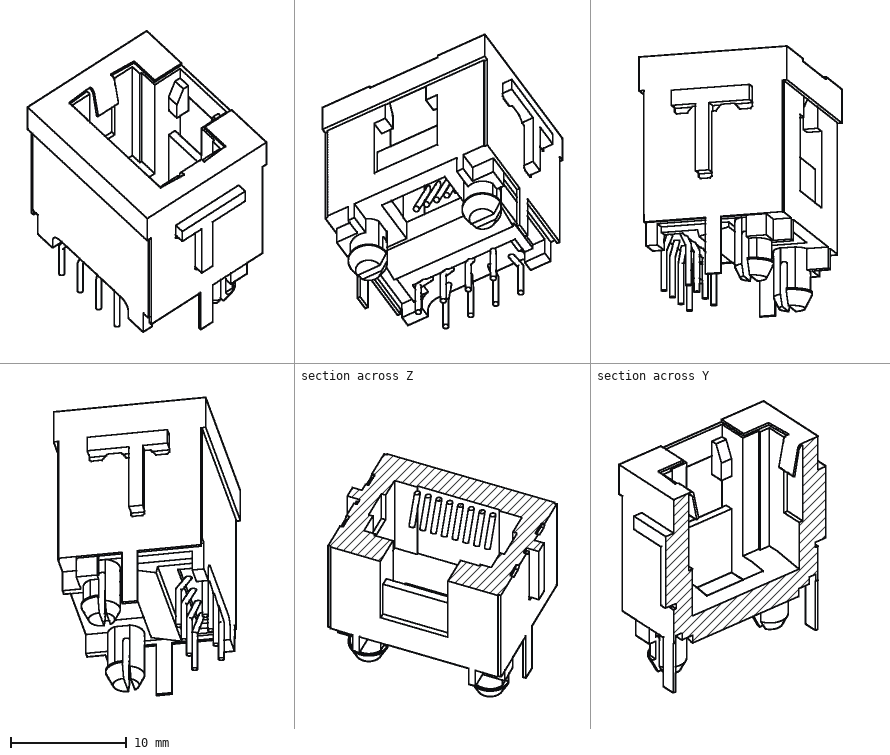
import cadquery as cq
import math


HEIGHT = 19.85
FLANGE_WIDTH = 16.24
FLANGE_DEPTH = 13.4
FLANGE_BOTTOM = 16.83
BODY_DEPTH = 12.72
BODY_BOTTOM = 5.1
PLATE_THICKNESS = 0.28
PLATE_DEPTH = 12.5
BODY_WIDTH = FLANGE_WIDTH - 2 * PLATE_THICKNESS

FOOT_BOTTOM = 3.22
FOOT_INNER_X = 5.12
FRONT_FOOT_DEPTH = 1.03
FRONT_FOOT_OUTER_X = 7.15
NOTCH_TOP = 5.82
ARCH_TOP = 5.18
ARCH_RADIUS = 1.0
REAR_FOOT_FRONT_Y = 2.92
REAR_FOOT_STEP_Y = 4.75
REAR_FOOT_STEP_X = 5.75

LIP_DEPTH = 0.24
LIP_WIDTH = 0.24
LATCH_HALF_WIDTH = 3.15
LATCH_FRONT_Y = 0.75
LATCH_REAR_Y = 6.33
CAVITY_HALF_WIDTH = 5.95
CAVITY_FRONT_Y = -3.47
CAVITY_REAR_Y = 3.3
LIP_FRONT_Y = -3.61
LIP_REAR_Y = 3.7
LIP_END_HALF_WIDTH = 6.2
LIP_MID_HALF_WIDTH = 6.35
REAR_POCKET_HALF_WIDTH = 4.92
REAR_POCKET_Y = 3.5
CONTACT_POCKET_HALF_WIDTH = 3.85
FLOOR_SLOPE = math.radians(8)
FLOOR_REAR_Y = 2.18
FLOOR_FRONT_Y = -3.12
FLOOR_REAR_Z = 7.55

SILL_TOP = 11.61
SILL_FRONT_Y = 5.05
HOOK_STEP_Y = 5.78
HOOK_INNER_X = 2.02
HOOK_TOP = 18.35
HOOK_SLOPE_BOTTOM = 16.73
HOOK_BOTTOM = 14.95

SPRING_FRONT_Y = -1.1
SPRING_REAR_Y = 1.17
SPRING_OUTER_X = 6.23
SPRING_BEND_X = 5.78
SPRING_TIP_X = 5.28
SPRING_BEND_Z = 19.37
SPRING_TIP_Z = 16.97
SPRING_THICKNESS = 0.24
SPRING_SLOT_FRONT_Y = -1.49
SPRING_SLOT_REAR_Y = 1.31
SPRING_SLOT_BOTTOM = 11.91

EAR_SPAN = 18.0
EAR_TOP = 16.44
EAR_BAR_BOTTOM = 15.09
EAR_STEM_BOTTOM = 9.1
EAR_FRONT_Y = -3.5
EAR_REAR_Y = 3.57
STEM_FRONT_Y = -1.31
STEM_REAR_Y = -0.1
WINDOW_DROP = 0.55
STEM_WINDOW_BOTTOM = 8.6
WINDOW_CHAMFER = 0.18
WINDOW_LENGTH = 1.63
INNER_WINDOW_LENGTH = 0.83
WINDOW_SLANT = 0.48

TAB_WIDTH = 1.37
TAB_BOTTOM = 0.08
PEG_X = 5.7
PEG_Y = 2.92
PEG_RADIUS = 1.6
PEG_FLAT = 1.43
PEG_SLOT_WIDTH = 0.6
PEG_SLOT_TOP = 3.85
PEG_SLOT_CORNER_RADIUS = 0.24
PEG_TIP_RADIUS = 1.13
PEG_TAPER_TOP = 0.97
BARB_RADIUS = 1.77
BARB_TOP = 1.4
BARB_TAPER_TOP = 1.27

CARRIER_HALF_WIDTH = 5.95
CARRIER_BOTTOM = 4.6
CARRIER_FRONT_Y = -3.67
CARRIER_EDGE_Y = -2.06
CARRIER_NOSE_Y = -1.93
CARRIER_NOSE_Z = 4.0
CARRIER_SLOPE = math.radians(14)

PIN_COUNT = 8
PIN_PITCH = 1.25
CONTACT_PITCH = 1.01
WIRE_DIAMETER = 0.5
PIN_BOTTOM = 0.15
BEND_Z = 3.77
WIRE_TOP_Z = 5.45
FRONT_ROW_Y = -5.95
FRONT_ROW_TOP_Y = -5.52
REAR_ROW_Y = -3.37
REAR_ROW_TOP_Y = -4.33
CONTACT_ROOT_Y = -3.97
CONTACT_ROOT_Z = 17.47
CONTACT_TIP_Y = -1.59
CONTACT_TIP_Z = 11.91


def box(x1, x2, y1, y2, z1, z2):
    """Box between two opposite corners."""
    return cq.Workplane("XY").box(x2 - x1, y2 - y1, z2 - z1, centered=False).translate((x1, y1, z1))


def both_sides(shape):
    """The shape together with its mirror image across the YZ plane."""
    return shape.union(shape.mirror("YZ"))


def side_profile(points, x1, x2):
    """Closed (y, z) outline extruded from x1 to x2."""
    return cq.Workplane("YZ").workplane(offset=x1).polyline(points).close().extrude(x2 - x1)


def rod(start, end):
    """Round contact wire between two points."""
    axis = cq.Vector(*end) - cq.Vector(*start)
    return cq.Workplane(cq.Solid.makeCylinder(WIRE_DIAMETER / 2, axis.Length, cq.Vector(*start), axis))


def make_housing():
    half_width = BODY_WIDTH / 2
    front = -BODY_DEPTH / 2
    rear = BODY_DEPTH / 2
    wall_back = front + FRONT_FOOT_DEPTH
    flange = box(
        -FLANGE_WIDTH / 2, FLANGE_WIDTH / 2, -FLANGE_DEPTH / 2, FLANGE_DEPTH / 2, FLANGE_BOTTOM, HEIGHT
    )
    body = box(-half_width, half_width, front, rear, BODY_BOTTOM, FLANGE_BOTTOM)
    front_wall = box(-half_width, half_width, front, wall_back, FOOT_BOTTOM, BODY_BOTTOM)
    slope_rise = (LATCH_FRONT_Y - CARRIER_NOSE_Y) * math.tan(CARRIER_SLOPE)
    carrier = side_profile(
        [
            (CARRIER_FRONT_Y, CARRIER_BOTTOM),
            (CARRIER_EDGE_Y, CARRIER_BOTTOM),
            (CARRIER_NOSE_Y, CARRIER_NOSE_Z),
            (LATCH_FRONT_Y, CARRIER_NOSE_Z + slope_rise),
            (LATCH_FRONT_Y, ARCH_TOP),
            (CARRIER_FRONT_Y, ARCH_TOP),
        ],
        -CARRIER_HALF_WIDTH,
        CARRIER_HALF_WIDTH,
    )
    carrier_rail = box(
        FOOT_INNER_X, CARRIER_HALF_WIDTH, wall_back, CARRIER_FRONT_Y, CARRIER_BOTTOM, ARCH_TOP
    )
    foot = box(FOOT_INNER_X, half_width, REAR_FOOT_FRONT_Y, REAR_FOOT_STEP_Y, FOOT_BOTTOM, BODY_BOTTOM)
    foot_rear = box(FOOT_INNER_X, REAR_FOOT_STEP_X, REAR_FOOT_STEP_Y, rear, FOOT_BOTTOM, BODY_BOTTOM)
    housing = flange.union(body).union(front_wall)

    arch = (
        box(-FOOT_INNER_X, FOOT_INNER_X, front, CARRIER_FRONT_Y, FOOT_BOTTOM, ARCH_TOP)
        .edges("|Y and >Z")
        .fillet(ARCH_RADIUS)
    )
    notch = box(FRONT_FOOT_OUTER_X, half_width, front, REAR_FOOT_FRONT_Y, FOOT_BOTTOM, NOTCH_TOP)
    housing = housing.cut(arch).cut(both_sides(notch))
    return housing.union(carrier).union(both_sides(foot.union(foot_rear).union(carrier_rail)))


def make_side_plate():
    """Shield plate on the +X side with its ground tab and the windows around the ear."""
    inner_x = BODY_WIDTH / 2
    outer_x = FLANGE_WIDTH / 2
    plate = box(inner_x, outer_x, -PLATE_DEPTH / 2, PLATE_DEPTH / 2, BODY_BOTTOM, FLANGE_BOTTOM)
    tab = box(inner_x, outer_x, -TAB_WIDTH / 2, TAB_WIDTH / 2, TAB_BOTTOM, BODY_BOTTOM)
    top = EAR_BAR_BOTTOM
    bottom = top - WINDOW_DROP

    def bar_window(outer_y, direction):
        inner_y = outer_y + direction * WINDOW_LENGTH
        return side_profile(
            [
                (outer_y, top),
                (outer_y, bottom + WINDOW_CHAMFER),
                (outer_y + direction * WINDOW_CHAMFER, bottom),
                (inner_y - direction * WINDOW_SLANT, bottom),
                (inner_y, top),
            ],
            inner_x,
            outer_x,
        )

    inner_window = side_profile(
        [
            (STEM_REAR_Y, top),
            (STEM_REAR_Y, bottom),
            (STEM_REAR_Y + INNER_WINDOW_LENGTH - WINDOW_SLANT, bottom),
            (STEM_REAR_Y + INNER_WINDOW_LENGTH, top),
        ],
        inner_x,
        outer_x,
    )
    stem_window = (
        box(inner_x, outer_x, STEM_FRONT_Y, STEM_REAR_Y, STEM_WINDOW_BOTTOM, EAR_STEM_BOTTOM)
        .edges("|X and <Z")
        .chamfer(WINDOW_CHAMFER)
    )
    plate = plate.union(tab)
    for window in (bar_window(EAR_REAR_Y, -1), bar_window(EAR_FRONT_Y, 1), inner_window, stem_window):
        plate = plate.cut(window)
    return plate


def make_ear():
    inner_x = BODY_WIDTH / 2
    bar = box(inner_x, EAR_SPAN / 2, EAR_FRONT_Y, EAR_REAR_Y, EAR_BAR_BOTTOM, EAR_TOP)
    stem = box(inner_x, EAR_SPAN / 2, STEM_FRONT_Y, STEM_REAR_Y, EAR_STEM_BOTTOM, EAR_BAR_BOTTOM)
    return bar.union(stem)


def make_lip_recess():
    """Shallow step around the opening; its sides bulge outward at the spring slots."""
    rear = FLANGE_DEPTH / 2
    latch_x = LATCH_HALF_WIDTH + LIP_WIDTH
    right_side = [
        (latch_x, rear),
        (latch_x, LIP_REAR_Y),
        (LIP_END_HALF_WIDTH, LIP_REAR_Y),
        (LIP_MID_HALF_WIDTH, SPRING_SLOT_REAR_Y),
        (LIP_MID_HALF_WIDTH, SPRING_SLOT_FRONT_Y),
        (LIP_END_HALF_WIDTH, LIP_FRONT_Y),
    ]
    left_side = [(-x, y) for x, y in reversed(right_side)]
    outline = cq.Workplane("XY").workplane(offset=HEIGHT - LIP_DEPTH).polyline(right_side + left_side)
    return outline.close().extrude(LIP_DEPTH)


def floor_height(y):
    """Height at depth y of the sloping plane of the cavity floor."""
    return FLOOR_REAR_Z + (y - FLOOR_REAR_Y) * math.tan(FLOOR_SLOPE)


def make_opening():
    floor_front_z = floor_height(FLOOR_FRONT_Y)
    cavity = side_profile(
        [
            (CAVITY_FRONT_Y, HEIGHT),
            (CAVITY_FRONT_Y, floor_front_z),
            (FLOOR_FRONT_Y, floor_front_z),
            (FLOOR_REAR_Y, FLOOR_REAR_Z),
            (CAVITY_REAR_Y, FLOOR_REAR_Z),
            (CAVITY_REAR_Y, HEIGHT),
        ],
        -CAVITY_HALF_WIDTH,
        CAVITY_HALF_WIDTH,
    )
    rear_pocket = box(
        -REAR_POCKET_HALF_WIDTH, REAR_POCKET_HALF_WIDTH, CAVITY_REAR_Y, REAR_POCKET_Y, FLOOR_REAR_Z, HEIGHT
    )
    contact_pocket = box(
        -CONTACT_POCKET_HALF_WIDTH,
        CONTACT_POCKET_HALF_WIDTH,
        LIP_FRONT_Y,
        CAVITY_FRONT_Y,
        floor_front_z,
        HEIGHT,
    )
    latch_passage = box(-LATCH_HALF_WIDTH, LATCH_HALF_WIDTH, LATCH_FRONT_Y, SILL_FRONT_Y, 0, HEIGHT)
    latch_space = box(
        -LATCH_HALF_WIDTH, LATCH_HALF_WIDTH, SILL_FRONT_Y, LATCH_REAR_Y, FLANGE_BOTTOM, HEIGHT
    )
    rear = BODY_DEPTH / 2
    window = side_profile(
        [
            (SILL_FRONT_Y, FLANGE_BOTTOM),
            (SILL_FRONT_Y, SILL_TOP),
            (HOOK_STEP_Y, SILL_TOP),
            (HOOK_STEP_Y, floor_height(HOOK_STEP_Y)),
            (rear, floor_height(rear)),
            (rear, FLANGE_BOTTOM),
        ],
        -LATCH_HALF_WIDTH,
        LATCH_HALF_WIDTH,
    )
    spring_slot = box(
        CAVITY_HALF_WIDTH,
        LIP_MID_HALF_WIDTH,
        SPRING_SLOT_FRONT_Y,
        SPRING_SLOT_REAR_Y,
        SPRING_SLOT_BOTTOM,
        HEIGHT,
    )
    opening = make_lip_recess().union(cavity).union(rear_pocket).union(latch_passage)
    opening = opening.union(latch_space).union(window).union(both_sides(spring_slot))
    return opening.union(contact_pocket)


def make_hook():
    return side_profile(
        [
            (BODY_DEPTH / 2, HOOK_BOTTOM),
            (SILL_FRONT_Y, HOOK_BOTTOM),
            (SILL_FRONT_Y, HOOK_SLOPE_BOTTOM),
            (HOOK_STEP_Y, HOOK_TOP),
            (BODY_DEPTH / 2, HOOK_TOP),
        ],
        HOOK_INNER_X,
        LATCH_HALF_WIDTH,
    )


def make_spring():
    """Sheet strip that curls over the +X edge of the opening and hangs into it, with a rounded tip."""
    bend_rise = HEIGHT - SPRING_BEND_Z
    bend_mid_x = SPRING_BEND_X + bend_rise * (1 - math.cos(math.pi / 4))
    tip_end_x = SPRING_TIP_X + SPRING_THICKNESS
    tip_mid_x = SPRING_TIP_X + SPRING_THICKNESS * (1 - math.cos(math.pi / 4))
    tip_mid_z = SPRING_TIP_Z - SPRING_THICKNESS * math.sin(math.pi / 4)
    bend_mid_z = SPRING_BEND_Z + bend_rise * math.sin(math.pi / 4)
    return (
        cq.Workplane("XZ", origin=(0, SPRING_REAR_Y, 0))
        .moveTo(LIP_MID_HALF_WIDTH, HEIGHT)
        .lineTo(SPRING_OUTER_X, HEIGHT)
        .threePointArc((bend_mid_x, bend_mid_z), (SPRING_BEND_X, SPRING_BEND_Z))
        .lineTo(SPRING_TIP_X, SPRING_TIP_Z)
        .threePointArc((tip_mid_x, tip_mid_z), (tip_end_x, SPRING_TIP_Z - SPRING_THICKNESS))
        .lineTo(SPRING_BEND_X + SPRING_THICKNESS, SPRING_BEND_Z)
        .lineTo(SPRING_OUTER_X, HEIGHT - SPRING_THICKNESS)
        .lineTo(LIP_MID_HALF_WIDTH, HEIGHT - SPRING_THICKNESS)
        .close()
        .extrude(SPRING_REAR_Y - SPRING_FRONT_Y)
    )


def revolved_peg(profile):
    """Solid of revolution about Z from (radius, z) points that start and end on the axis."""
    return cq.Workplane("XZ").polyline(profile).close().revolve(360, (0, 0), (0, 1))


def make_peg():
    """Split peg: barbed and flat-sided at the rear, plain and tapered at the front."""
    front = revolved_peg(
        [
            (0, 0),
            (PEG_TIP_RADIUS, 0),
            (PEG_RADIUS, PEG_TAPER_TOP),
            (PEG_RADIUS, BODY_BOTTOM),
            (0, BODY_BOTTOM),
        ]
    ).intersect(box(-PEG_RADIUS, PEG_RADIUS, -PEG_RADIUS, -PEG_SLOT_WIDTH, 0, BODY_BOTTOM))
    barb = revolved_peg(
        [
            (0, 0),
            (PEG_TIP_RADIUS, 0),
            (BARB_RADIUS, BARB_TAPER_TOP),
            (BARB_RADIUS, BARB_TOP),
            (0, BARB_TOP),
        ]
    ).intersect(box(-BARB_RADIUS, BARB_RADIUS, 0, BARB_RADIUS, 0, BARB_TOP))
    shank = revolved_peg(
        [(0, BARB_TOP), (PEG_RADIUS, BARB_TOP), (PEG_RADIUS, BODY_BOTTOM), (0, BODY_BOTTOM)]
    ).intersect(box(-PEG_FLAT, PEG_FLAT, -PEG_SLOT_WIDTH, PEG_RADIUS, BARB_TOP, BODY_BOTTOM))
    slot = box(-BARB_RADIUS, BARB_RADIUS, -PEG_SLOT_WIDTH, 0, 0, PEG_SLOT_TOP)
    slot = slot.edges("|X and >Z").fillet(PEG_SLOT_CORNER_RADIUS)
    return front.union(shank).union(barb).cut(slot).translate((PEG_X, PEG_Y, 0))


def row_positions(pitch):
    """Evenly spaced X positions of the contacts, centred on the jack."""
    return [(index - (PIN_COUNT - 1) / 2) * pitch for index in range(PIN_COUNT)]


def make_wire(index):
    """Solder pin, slanted lead into the housing, and sprung contact in the cavity."""
    pin_x = row_positions(PIN_PITCH)[index]
    contact_x = row_positions(CONTACT_PITCH)[index]
    in_front_row = index % 2 == 0
    pin_y = FRONT_ROW_Y if in_front_row else REAR_ROW_Y
    top_y = FRONT_ROW_TOP_Y if in_front_row else REAR_ROW_TOP_Y
    bend = (pin_x, pin_y, BEND_Z)
    pin = rod((pin_x, pin_y, PIN_BOTTOM), bend)
    elbow = cq.Workplane("XY").sphere(WIRE_DIAMETER / 2).translate(bend)
    lead = rod(bend, (contact_x, top_y, WIRE_TOP_Z))
    contact = rod((contact_x, CONTACT_ROOT_Y, CONTACT_ROOT_Z), (contact_x, CONTACT_TIP_Y, CONTACT_TIP_Z))
    return pin.union(elbow).union(lead).union(contact)


result = make_housing().cut(make_opening())
result = result.union(both_sides(make_side_plate().union(make_ear())))
result = result.union(both_sides(make_hook().union(make_spring()).union(make_peg())))
for wire_index in range(PIN_COUNT):
    result = result.union(make_wire(wire_index))